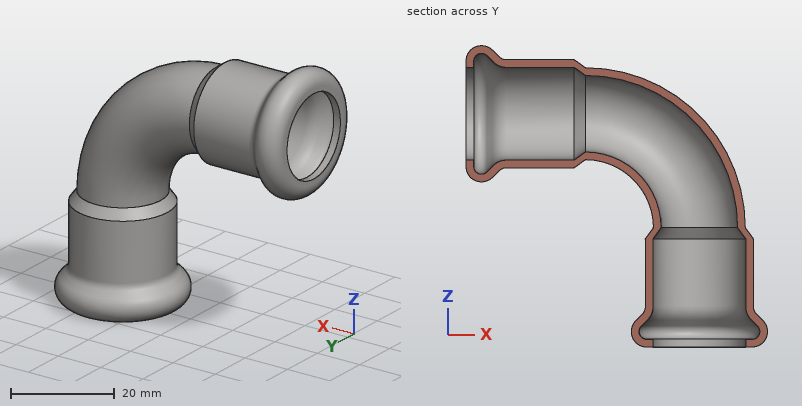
import cadquery as cq
import math

overall_length = 58.25
wall = 1.6

bead_outer_radius = 13.195
socket_radius = 10.5
tube_radius = 8.9

bead_arc = 3.0
neck_fillet = 2.0

socket_end = 20.9
bend_start = 23.05

axis_reach = overall_length - bead_outer_radius
bend_radius = axis_reach - bend_start

flank_sine = math.sin(math.radians(45))
crest_radius = bead_outer_radius - bead_arc
flank_start = bead_arc * (1 + flank_sine)
flank_start_radius = crest_radius + bead_arc * flank_sine
fillet_centre_radius = socket_radius + neck_fillet
flank_end_radius = fillet_centre_radius - neck_fillet * flank_sine
flank_end = flank_start + flank_start_radius - flank_end_radius
neck_end = flank_end + neck_fillet * flank_sine


def socket_profile(inset):
    """Half section of a socket, shrunk by inset; x is the radius, y the distance from the mouth."""
    bead = bead_arc - inset
    fillet = neck_fillet + inset
    bead_mid = math.radians(22.5)
    fillet_mid = math.radians(67.5)
    return (
        cq.Workplane("XY")
        .moveTo(0, inset)
        .lineTo(crest_radius, inset)
        .threePointArc(
            (crest_radius + bead * math.cos(bead_mid), bead_arc - bead * math.sin(bead_mid)),
            (crest_radius + bead * flank_sine, bead_arc + bead * flank_sine),
        )
        .lineTo(fillet_centre_radius - fillet * flank_sine, neck_end - fillet * flank_sine)
        .threePointArc(
            (fillet_centre_radius - fillet * math.sin(fillet_mid), neck_end - fillet * math.cos(fillet_mid)),
            (socket_radius - inset, neck_end),
        )
        .lineTo(socket_radius - inset, socket_end)
        .lineTo(tube_radius - inset, bend_start)
        .lineTo(0, bend_start)
        .close()
    )


def revolve_socket(inset):
    """Socket standing on the Z axis, with its mouth facing down."""
    upright = socket_profile(inset).revolve(360, (0, 0, 0), (0, 1, 0)).rotate((0, 0, 0), (1, 0, 0), 90)
    return upright.translate((0, 0, -axis_reach))


def elbow(inset):
    """Two sockets joined by a quarter bend."""
    lower = revolve_socket(inset)
    side = lower.rotate((0, 0, 0), (0, 1, 0), 90)
    bend = (
        cq.Workplane("XY", origin=(0, 0, -bend_radius))
        .circle(tube_radius - inset)
        .revolve(90, (-bend_radius, 0, 0), (-bend_radius, -1, 0))
    )
    return lower.union(bend).union(side)


def mouth_bore():
    """Straight opening through the lip of the lower socket."""
    bore = cq.Workplane("XY", origin=(0, 0, -axis_reach))
    return bore.circle(socket_radius - wall).extrude(bead_arc)


mouth = mouth_bore()
cavity = elbow(wall).union(mouth).union(mouth.rotate((0, 0, 0), (0, 1, 0), 90))
result = elbow(0).cut(cavity)